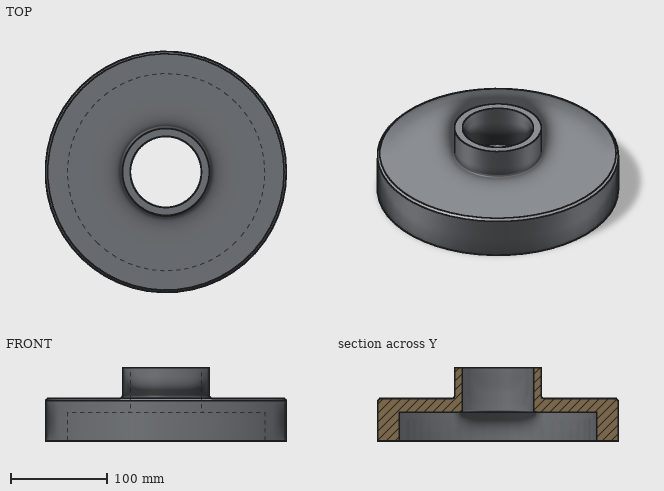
import cadquery as cq

disc_diameter = 250.0
disc_height = 44.5
disc_chamfer = 2.5
total_height = 76.2
hub_diameter = 90.0
hub_fillet = 3.0
bore_diameter = 73.5
bore_fillet = 3.0
recess_diameter = 204.5
web_thickness = 14.5

disc_radius = disc_diameter / 2
hub_radius = hub_diameter / 2
bore_radius = bore_diameter / 2
recess_radius = recess_diameter / 2
recess_depth = disc_height - web_thickness

section = (
    cq.Workplane("XZ")
    .moveTo(bore_radius, recess_depth + bore_fillet)
    .radiusArc((bore_radius + bore_fillet, recess_depth), -bore_fillet)
    .lineTo(recess_radius, recess_depth)
    .lineTo(recess_radius, 0)
    .lineTo(disc_radius, 0)
    .lineTo(disc_radius, disc_height - disc_chamfer)
    .lineTo(disc_radius - disc_chamfer, disc_height)
    .lineTo(hub_radius + hub_fillet, disc_height)
    .radiusArc((hub_radius, disc_height + hub_fillet), hub_fillet)
    .lineTo(hub_radius, total_height)
    .lineTo(bore_radius, total_height)
    .close()
)

result = section.revolve(360, (0, 0, 0), (0, 1, 0))